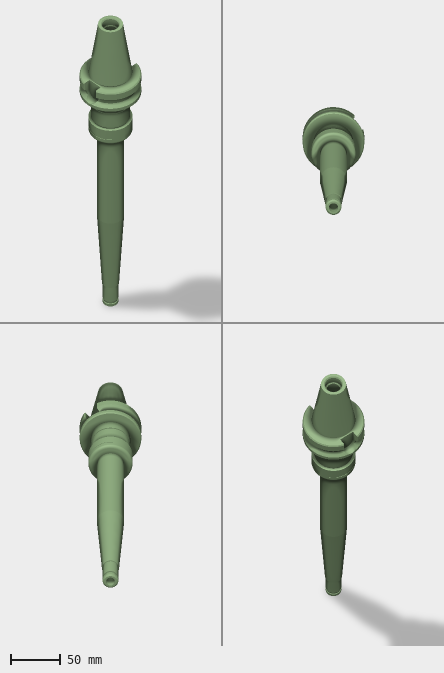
import cadquery as cq
import math

length = 381.5

taper_ratio = 7 / 24
taper_length = 65.5
gauge_diameter = 44.5
taper_small_diameter = gauge_diameter - taper_length * taper_ratio
relief_diameter = 42.0
relief_height = 2.0

flange_diameter = 63.0
flange_chamfer = 1.0
upper_rim_height = 8.8
lower_rim_height = 5.0
groove_diameter = 53.8
groove_root_height = 5.0
groove_side_height = 3.5

keyway_width = 16.0
keyway_floor = 22.5
keyway_depth = 21.5
keyway_edge_chamfer = 1.0

body_diameter = 40.0
body_upper_diameter = 40.5
body_upper_height = 11.5
seam_width = 1.0
body_lower_height = 19.0
seam_diameter = 38.5
neck_diameter = 38.5
neck_height = 1.5

nut_diameter = 45.0
nut_height = 19.0
nut_end_fillet = 3.0
nut_mark_angle = 96.0
nut_mark_height = 1.5
nut_mark_depth = 0.5
nut_mark_rise = 6.5

extension_diameter = 28.0
cone_top = 120.0
cone_bottom = 27.5
cone_end_diameter = 17.5
tip_diameter = 16.0
tip_groove_diameter = 13.7
tip_groove_top = 7.5
tip_groove_bottom = 4.5
tip_chamfer = 1.5

pilot_diameter = 17.0
pilot_chamfer = 1.0
pilot_depth = 9.0
thread_diameter = 13.7
thread_depth = 34.5
coolant_diameter = 9.0

gauge_z = length - taper_length
flange_top = gauge_z - relief_height
groove_top = flange_top - upper_rim_height
groove_root_top = groove_top - groove_side_height
groove_root_bottom = groove_root_top - groove_root_height
groove_bottom = groove_root_bottom - groove_side_height
flange_bottom = groove_bottom - lower_rim_height
seam_top = flange_bottom - body_upper_height
seam_bottom = seam_top - seam_width
neck_top = seam_bottom - body_lower_height
nut_top = neck_top - neck_height
nut_bottom = nut_top - nut_height


def turned(rings):
    """Revolve a stack of (diameter, z) rings into a solid around Z."""
    side = [(diameter / 2, z) for diameter, z in rings]
    first_z = rings[0][1]
    last_z = rings[-1][1]
    points = [(0, first_z)] + side + [(0, last_z)]
    return cq.Workplane("XZ").polyline(points).close().revolve(360, (0, 0), (0, 1))


def holder():
    """Outer form of the holder, from the taper down to the tip, with a square-edged nut."""
    rim_edge = flange_diameter - 2 * flange_chamfer
    return turned([
        (taper_small_diameter, length),
        (gauge_diameter, gauge_z),
        (relief_diameter, gauge_z),
        (relief_diameter, flange_top),
        (rim_edge, flange_top),
        (flange_diameter, flange_top - flange_chamfer),
        (flange_diameter, groove_top),
        (groove_diameter, groove_root_top),
        (groove_diameter, groove_root_bottom),
        (flange_diameter, groove_bottom),
        (flange_diameter, flange_bottom + flange_chamfer),
        (rim_edge, flange_bottom),
        (body_upper_diameter, flange_bottom),
        (body_upper_diameter, seam_top),
        (seam_diameter, seam_top),
        (seam_diameter, seam_bottom),
        (body_diameter, seam_bottom),
        (body_diameter, neck_top),
        (neck_diameter, nut_top),
        (nut_diameter, nut_top),
        (nut_diameter, nut_bottom),
        (extension_diameter, nut_bottom),
        (extension_diameter, cone_top),
        (cone_end_diameter, cone_bottom),
        (tip_diameter, cone_bottom),
        (tip_diameter, tip_groove_top),
        (tip_groove_diameter, tip_groove_top),
        (tip_groove_diameter, tip_groove_bottom),
        (tip_diameter, tip_groove_bottom),
        (tip_diameter, tip_chamfer),
        (tip_diameter - 2 * tip_chamfer, 0),
    ])


def bores():
    """Stepped bore for the pull stud and the coolant channel to the tip."""
    return turned([
        (pilot_diameter + 2 * pilot_chamfer, length),
        (pilot_diameter, length - pilot_chamfer),
        (pilot_diameter, length - pilot_depth),
        (thread_diameter, length - pilot_depth),
        (thread_diameter, length - thread_depth),
        (coolant_diameter, length - thread_depth),
        (coolant_diameter, 0),
    ])


def keyway():
    """Round-ended slot, open at the top of the flange, on the +Y side."""
    half_width = keyway_width / 2
    end_z = flange_top - keyway_depth
    arc_z = end_z + half_width
    return (
        cq.Workplane("XZ", origin=(0, keyway_floor, 0))
        .moveTo(-half_width, flange_top)
        .lineTo(-half_width, arc_z)
        .threePointArc((0, end_z), (half_width, arc_z))
        .lineTo(half_width, flange_top)
        .close()
        .extrude(-flange_diameter / 2)
    )


def keyway_edge_cut():
    """Flared cut that chamfers the outer upright edges of a keyway in the upper rim."""
    half_width = keyway_width / 2
    outer_y = flange_diameter / 2
    corner_y = math.sqrt(outer_y**2 - half_width**2)
    flare_y = corner_y - keyway_edge_chamfer
    flared_half_width = half_width + outer_y - flare_y
    return (
        cq.Workplane("XY", origin=(0, 0, groove_root_top))
        .polyline([
            (-half_width, flare_y),
            (half_width, flare_y),
            (flared_half_width, outer_y),
            (-flared_half_width, outer_y),
        ])
        .close()
        .extrude(flange_top - groove_root_top)
    )


def nut_mark():
    """Shallow arc-shaped groove around the -Y side of the nut."""
    outer_radius = nut_diameter / 2
    bottom_z = nut_bottom + nut_mark_rise
    return (
        cq.Workplane("XZ")
        .moveTo(outer_radius - nut_mark_depth, bottom_z)
        .lineTo(outer_radius, bottom_z)
        .lineTo(outer_radius, bottom_z + nut_mark_height)
        .lineTo(outer_radius - nut_mark_depth, bottom_z + nut_mark_height)
        .close()
        .revolve(nut_mark_angle, (0, 0), (0, 1))
        .rotate((0, 0, 0), (0, 0, 1), -90 - nut_mark_angle / 2)
    )


def nut_end_waste():
    """Ring of material outside the rounded lower edge of the nut."""
    outer_radius = nut_diameter / 2
    inner_radius = outer_radius - nut_end_fillet
    tangent_z = nut_bottom + nut_end_fillet
    diagonal = nut_end_fillet * math.sqrt(0.5)
    return (
        cq.Workplane("XZ")
        .moveTo(outer_radius, tangent_z)
        .threePointArc((inner_radius + diagonal, tangent_z - diagonal), (inner_radius, nut_bottom))
        .lineTo(outer_radius, nut_bottom)
        .close()
        .revolve(360, (0, 0), (0, 1))
    )


result = holder().cut(nut_end_waste())
result = result.cut(bores()).cut(nut_mark())
for angle in (0, 180):
    cutter = keyway().union(keyway_edge_cut()).rotate((0, 0, 0), (0, 0, 1), angle)
    result = result.cut(cutter)